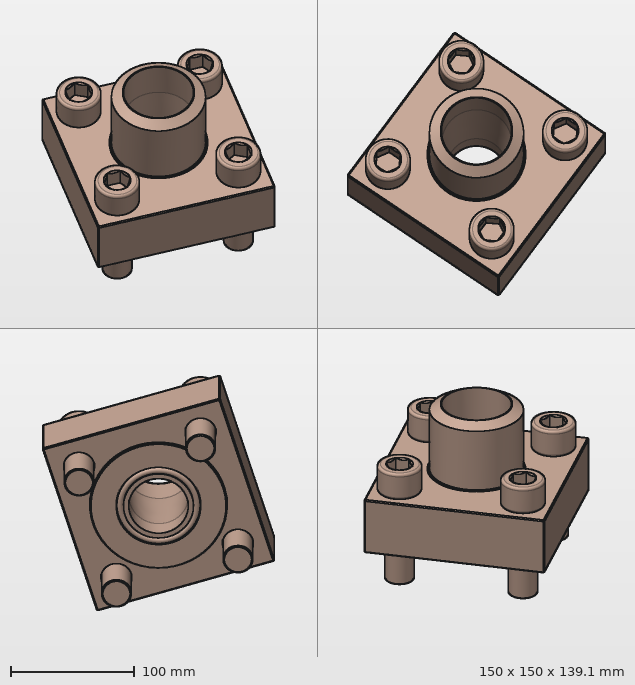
import cadquery as cq
import math

PLATE_SIDE = 150.0
PLATE_HEIGHT = 48.0
EDGE_CHAMFER = 1.0
PIPE_HOLE_DIAMETER = 77.5
FLANGE_RECESS_DIAMETER = 111.0
FLANGE_RECESS_DEPTH = 18.0
SCREW_HOLE_DIAMETER = 25.0

PIPE_DIAMETER = 76.0
PIPE_TOP = 107.0
SLEEVE_DIAMETER = 77.0
SLEEVE_PROJECTION = 0.5
PIPE_BORE_DIAMETER = 56.5
PIPE_BORE_DEPTH = 29.4
THROAT_DIAMETER = 48.0
BORE_TAPER_LENGTH = 60.0
WELD_LAND = 0.8
WELD_BEVEL_ANGLE = 30.0
NECK_FLANGE_DIAMETER = 110.0
NECK_FLANGE_CHAMFER = 0.5
NECK_FLANGE_PROJECTION = 2.0

SEAL_INNER_DIAMETER = 56.5
SEAL_OUTER_DIAMETER = 67.2
SEAL_SECTION = (SEAL_OUTER_DIAMETER - SEAL_INNER_DIAMETER) / 2
SEAL_PROJECTION = 1.28
SEAL_GROOVE_OUTER_DIAMETER = 68.2

SCREW_OFFSET = 51.3
SCREW_DIAMETER = 24.0
SCREW_PROJECTION = 32.1
SCREW_END_CHAMFER = 1.0
HEAD_DIAMETER = 1.5 * SCREW_DIAMETER
HEAD_HEIGHT = SCREW_DIAMETER
HEAD_FILLET = SCREW_DIAMETER / 10
HEX_CORNER_DIAMETER = 21.9
HEX_DEPTH = 14.4
HEX_LEAD_IN_ANGLE = 45.0
CORNER_TURNS = (0, 90, 180, 270)


def revolve_profile(points):
    """Turn a closed outline of (radius, height) points about the Z axis."""
    return cq.Workplane("XZ").polyline(points).close().revolve(360, (0, 0), (0, 1))


def make_plate():
    plate = cq.Workplane("XY").box(PLATE_SIDE, PLATE_SIDE, PLATE_HEIGHT, centered=(True, True, False))
    plate = plate.edges().chamfer(EDGE_CHAMFER)

    plate = plate.cut(cq.Workplane("XY").circle(FLANGE_RECESS_DIAMETER / 2).extrude(FLANGE_RECESS_DEPTH))
    plate = plate.cut(cq.Workplane("XY").circle(PIPE_HOLE_DIAMETER / 2).extrude(PLATE_HEIGHT))
    plate = plate.faces(">Z").edges("%CIRCLE").chamfer(EDGE_CHAMFER)

    screw_holes = (
        cq.Workplane("XY")
        .rect(2 * SCREW_OFFSET, 2 * SCREW_OFFSET, forConstruction=True)
        .vertices()
        .circle(SCREW_HOLE_DIAMETER / 2)
        .extrude(PLATE_HEIGHT)
    )
    return plate.cut(screw_holes)


def make_seal_groove():
    groove_depth = SEAL_SECTION - SEAL_PROJECTION
    return (
        cq.Workplane("XY", origin=(0, 0, -NECK_FLANGE_PROJECTION))
        .circle(SEAL_GROOVE_OUTER_DIAMETER / 2)
        .circle(SEAL_INNER_DIAMETER / 2)
        .extrude(groove_depth)
    )


def make_weld_neck():
    pipe_radius = PIPE_DIAMETER / 2
    sleeve_radius = SLEEVE_DIAMETER / 2
    bore_radius = PIPE_BORE_DIAMETER / 2
    throat_radius = THROAT_DIAMETER / 2
    flange_radius = NECK_FLANGE_DIAMETER / 2
    land_radius = bore_radius + WELD_LAND
    bevel_height = (pipe_radius - land_radius) * math.tan(math.radians(WELD_BEVEL_ANGLE))
    sleeve_top = PLATE_HEIGHT + SLEEVE_PROJECTION
    taper_top = PIPE_TOP - PIPE_BORE_DEPTH
    foot = -NECK_FLANGE_PROJECTION
    neck = revolve_profile(
        [
            (throat_radius, foot),
            (flange_radius - NECK_FLANGE_CHAMFER, foot),
            (flange_radius, foot + NECK_FLANGE_CHAMFER),
            (flange_radius, FLANGE_RECESS_DEPTH),
            (sleeve_radius, FLANGE_RECESS_DEPTH),
            (sleeve_radius, sleeve_top),
            (pipe_radius, sleeve_top),
            (pipe_radius, PIPE_TOP - bevel_height),
            (land_radius, PIPE_TOP),
            (bore_radius, PIPE_TOP),
            (bore_radius, taper_top),
            (throat_radius, taper_top - BORE_TAPER_LENGTH),
        ]
    )
    return neck.cut(make_seal_groove())


def make_seal_ring():
    section_radius = SEAL_SECTION / 2
    ring_radius = SEAL_INNER_DIAMETER / 2 + section_radius
    center_height = section_radius - SEAL_PROJECTION - NECK_FLANGE_PROJECTION
    return (
        cq.Workplane("XZ")
        .center(ring_radius, center_height)
        .circle(section_radius)
        .revolve(360, (-ring_radius, 0), (-ring_radius, 1))
    )


def make_hex_socket():
    """Hexagonal recess whose conical lead-in starts at the hexagon's corner circle."""
    head_top = PLATE_HEIGHT + HEAD_HEIGHT
    corner_radius = HEX_CORNER_DIAMETER / 2
    lead_in_depth = corner_radius * math.tan(math.radians(HEX_LEAD_IN_ANGLE))
    hexagon = (
        cq.Workplane("XY", origin=(0, 0, head_top))
        .polygon(6, HEX_CORNER_DIAMETER)
        .extrude(-HEX_DEPTH)
    )
    lead_in = revolve_profile([(0, head_top), (corner_radius, head_top), (0, head_top - lead_in_depth)])
    return hexagon.union(lead_in)


def make_screw(turn):
    """One screw on a plate corner; the whole screw turns with the corner about the Z axis."""
    head = (
        cq.Workplane("XY", origin=(0, 0, PLATE_HEIGHT))
        .circle(HEAD_DIAMETER / 2)
        .extrude(HEAD_HEIGHT)
        .edges()
        .fillet(HEAD_FILLET)
    )
    shank = (
        cq.Workplane("XY", origin=(0, 0, -SCREW_PROJECTION))
        .circle(SCREW_DIAMETER / 2)
        .extrude(SCREW_PROJECTION + PLATE_HEIGHT)
        .faces("<Z")
        .chamfer(SCREW_END_CHAMFER)
    )
    screw = head.union(shank).cut(make_hex_socket())
    return screw.translate((SCREW_OFFSET, SCREW_OFFSET, 0)).rotate((0, 0, 0), (0, 0, 1), turn)


plate = make_plate()
weld_neck = make_weld_neck()
seal_ring = make_seal_ring()
screws = [make_screw(turn) for turn in CORNER_TURNS]

result = cq.Compound.makeCompound(
    [plate.val(), weld_neck.val(), seal_ring.val(), *[screw.val() for screw in screws]]
)